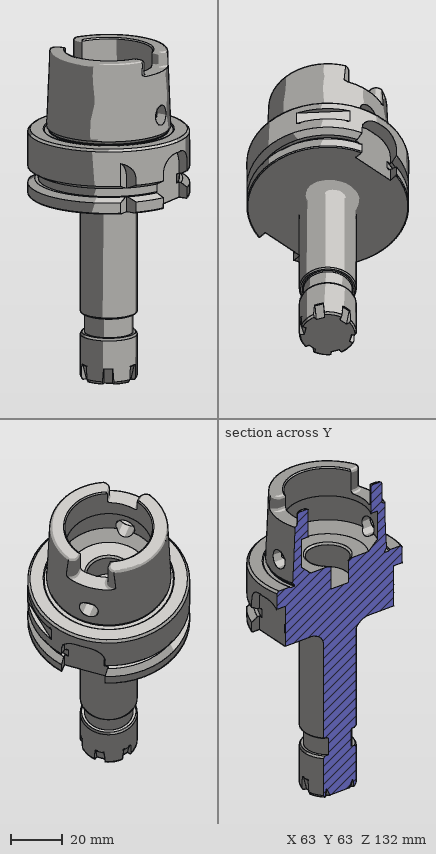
import cadquery as cq
import math


cut_clearance = 4.0

taper_length = 32.0
total_length = 132.0
tip_z = taper_length - total_length
flange_length = 26.0
stem_end_z = -73.8
nut_top_z = -81.6

taper_top_radius = 23.0
taper_foot_radius = 24.2
taper_foot_z = 1.8
foot_edge_z = 1.2
relief_neck_radius = 23.4
relief_outer_radius = 25.5
relief_depth = 0.4
rim_fillet = 1.2

bore_radius = 17.0
bore_lip_depth = 12.8
undercut_radius = 19.9
undercut_bottom_z = 6.7
bore_floor_radius = 16.0
bore_floor_z = undercut_bottom_z - (undercut_radius - bore_floor_radius)
bore_rim_chamfer = 0.5
pilot_radius = 8.7
pilot_depth = 10.5
pilot_chamfer = 0.8
cross_hole_diameter = 7.8
cross_hole_z = 8.7

slot_half_width = 6.1
slot_mouth_radius = 3.0
slot_land_x = 21.0
slot_floor_fillet = 1.2
left_slot_depth = 10.2
right_slot_depth = 6.1

flange_diameter = 63.0
flange_radius = flange_diameter / 2
flange_top_edge = 0.9
flange_bottom_edge = 0.4
groove_diameter = 54.8
groove_lip_radius = 28.8
groove_top_z = -16.4
groove_bottom_z = -19.9
groove_bevel = (flange_radius - groove_lip_radius) * math.tan(math.radians(30))

keyway_half_width = 9.0
keyway_corner_radius = 7.0
keyway_top_z = -5.1
keyway_floor_x = 26.4
notch_floor_x = 20.0
notch_wall_y = -19.9
flat_distance = 29.7
flat_top_z = -4.1
flat_height = 6.0
flat_angle = 135

stem_radius = 11.1
nut_radius = stem_radius
stem_fillet = 5.0
stem_chamfer = 0.5
neck_radius = 9.5
neck_root_chamfer = 0.4
nut_chamfer_width = 0.5
nut_chamfer_height = 0.9
nut_tip_chamfer_width = 0.5
nut_tip_chamfer_height = 1.0
nut_slot_count = 6
nut_slot_floor_width = 3.4
nut_slot_wall_angle = 18
nut_slot_height = 6.2
nut_slot_top_depth = 0.5
nut_slot_tip_depth = 2.1


def box_between(x_range, y_range, z_range):
    """Axis-aligned box spanning the three (low, high) ranges."""
    lows, highs = zip(x_range, y_range, z_range)
    size = [high - low for low, high in zip(lows, highs)]
    return cq.Workplane("XY").box(*size, centered=False).translate(lows)


def turned_body():
    """Solid of revolution: taper, flange, stem, neck and nut."""
    flange_bottom_z = -flange_length
    arc_dip = stem_fillet * (1 - math.sqrt(0.5))
    profile = (
        cq.Workplane("XZ")
        .moveTo(0, taper_length)
        .lineTo(taper_top_radius, taper_length)
        .lineTo(taper_foot_radius, taper_foot_z)
        .lineTo(taper_foot_radius, foot_edge_z)
        .lineTo(relief_neck_radius, 0)
        .lineTo(relief_neck_radius, -relief_depth)
        .lineTo(relief_outer_radius - relief_depth, -relief_depth)
        .lineTo(relief_outer_radius, 0)
        .lineTo(flange_radius - flange_top_edge, 0)
        .lineTo(flange_radius, -flange_top_edge)
        .lineTo(flange_radius, groove_top_z + groove_bevel)
        .lineTo(groove_lip_radius, groove_top_z)
        .lineTo(groove_diameter / 2, groove_top_z)
        .lineTo(groove_diameter / 2, groove_bottom_z)
        .lineTo(groove_lip_radius, groove_bottom_z)
        .lineTo(flange_radius, groove_bottom_z - groove_bevel)
        .lineTo(flange_radius, flange_bottom_z + flange_bottom_edge)
        .lineTo(flange_radius - flange_bottom_edge, flange_bottom_z)
        .lineTo(stem_radius + stem_fillet, flange_bottom_z)
        .threePointArc(
            (stem_radius + arc_dip, flange_bottom_z - arc_dip),
            (stem_radius, flange_bottom_z - stem_fillet),
        )
        .lineTo(stem_radius, stem_end_z + stem_chamfer)
        .lineTo(stem_radius - stem_chamfer, stem_end_z)
        .lineTo(neck_radius + neck_root_chamfer, stem_end_z)
        .lineTo(neck_radius, stem_end_z - neck_root_chamfer)
        .lineTo(neck_radius, nut_top_z)
        .lineTo(nut_radius - nut_chamfer_width, nut_top_z)
        .lineTo(nut_radius, nut_top_z - nut_chamfer_height)
        .lineTo(nut_radius, tip_z + nut_tip_chamfer_height)
        .lineTo(nut_radius - nut_tip_chamfer_width, tip_z)
        .lineTo(0, tip_z)
        .close()
    )
    return profile.revolve(360, (0, 0), (0, 1))


def bore():
    """Bore with an undercut below its lip and a chamfered pilot hole in its floor."""
    profile = (
        cq.Workplane("XZ")
        .moveTo(0, taper_length)
        .lineTo(bore_radius + bore_rim_chamfer, taper_length)
        .lineTo(bore_radius, taper_length - bore_rim_chamfer)
        .lineTo(bore_radius, taper_length - bore_lip_depth)
        .lineTo(undercut_radius, taper_length - bore_lip_depth)
        .lineTo(undercut_radius, undercut_bottom_z)
        .lineTo(bore_floor_radius, bore_floor_z)
        .lineTo(pilot_radius + pilot_chamfer, bore_floor_z)
        .lineTo(pilot_radius, bore_floor_z - pilot_chamfer)
        .lineTo(pilot_radius, bore_floor_z - pilot_depth)
        .lineTo(0, bore_floor_z - pilot_depth)
        .close()
    )
    return profile.revolve(360, (0, 0), (0, 1))


def is_bore_edge(edge):
    """True for the round edges where the bore breaks through the rim."""
    return edge.geomType() == "CIRCLE" and abs(edge.radius() - bore_radius) < bore_rim_chamfer


def cross_hole():
    """Round hole through both taper walls along X."""
    drill = cq.Workplane("YZ").center(0, cross_hole_z).circle(cross_hole_diameter / 2)
    return drill.extrude(taper_foot_radius + cut_clearance, both=True)


def drive_slot(depth):
    """Slot through the rim on the +X side, flaring to a full-width land at its mouth."""
    mouth_half_width = slot_half_width + slot_mouth_radius
    arc_start_x = slot_land_x - slot_mouth_radius
    arc_mid_x = arc_start_x + slot_mouth_radius * math.sqrt(0.5)
    arc_mid_y = mouth_half_width - slot_mouth_radius * math.sqrt(0.5)
    outside = taper_foot_radius + cut_clearance
    return (
        cq.Workplane("XY", origin=(0, 0, taper_length - depth))
        .moveTo(0, -slot_half_width)
        .lineTo(arc_start_x, -slot_half_width)
        .threePointArc((arc_mid_x, -arc_mid_y), (slot_land_x, -mouth_half_width))
        .lineTo(slot_land_x, -outside)
        .lineTo(outside, -outside)
        .lineTo(outside, outside)
        .lineTo(slot_land_x, outside)
        .lineTo(slot_land_x, mouth_half_width)
        .threePointArc((arc_mid_x, arc_mid_y), (arc_start_x, slot_half_width))
        .lineTo(0, slot_half_width)
        .close()
        .extrude(depth)
        .faces("<Z")
        .edges()
        .fillet(slot_floor_fillet)
    )


def keyway(floor_x, center_y):
    """Round-topped cut from floor_x outward along +X, open at the flange underside."""
    return (
        box_between(
            (floor_x, flange_radius + cut_clearance),
            (center_y - keyway_half_width, center_y + keyway_half_width),
            (-flange_length, keyway_top_z),
        )
        .edges("|X and >Z")
        .fillet(keyway_corner_radius)
    )


def flange_flat():
    """Shallow flat on the side of the flange."""
    block = box_between(
        (flat_distance, flange_radius + cut_clearance),
        (-flange_radius, flange_radius),
        (flat_top_z - flat_height, flat_top_z),
    )
    return block.rotate((0, 0, 0), (0, 0, 1), flat_angle)


def nut_slot(angle):
    """Wrench slot in the nut's lower edge, deepening toward the tip, with flared walls."""
    deepening = nut_slot_tip_depth - nut_slot_top_depth
    floor_length = math.hypot(nut_slot_height, deepening)
    floor_plane = cq.Plane(
        origin=(nut_radius - nut_slot_top_depth, 0, tip_z + nut_slot_height),
        xDir=(0, 1, 0),
        normal=(nut_slot_height, 0, -deepening),
    )
    flare = (
        cq.Workplane(floor_plane)
        .center(0, -floor_length)
        .rect(nut_slot_floor_width, floor_length * 2)
        .extrude(nut_slot_tip_depth + cut_clearance, taper=-nut_slot_wall_angle)
    )
    return flare.rotate((0, 0, 0), (0, 0, 1), angle)


entry_hole = cq.Workplane("XY", origin=(0, 0, undercut_bottom_z)).circle(bore_radius).extrude(taper_length)
body = turned_body().cut(entry_hole)
body = body.cut(drive_slot(right_slot_depth))
body = body.cut(drive_slot(left_slot_depth).rotate((0, 0, 0), (0, 0, 1), 180))
body = body.faces(">Z").edges().filter(lambda edge: not is_bore_edge(edge)).fillet(rim_fillet)
body = body.cut(bore()).cut(cross_hole())

side_keyway = keyway(keyway_floor_x, 0)
body = body.cut(side_keyway).cut(side_keyway.mirror("YZ"))
body = body.cut(keyway(notch_floor_x, notch_wall_y - keyway_half_width))
body = body.cut(flange_flat())

for index in range(nut_slot_count):
    body = body.cut(nut_slot(index * 360 / nut_slot_count))

result = body